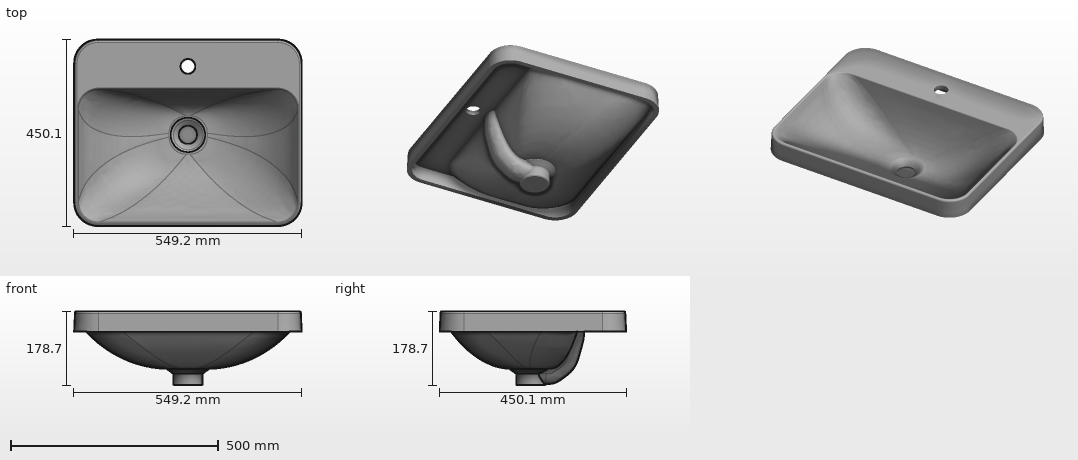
import cadquery as cq
import math


RIM_LENGTH = 549.22
RIM_WIDTH = 450.05
RIM_HEIGHT = 49.0
RIM_CORNER_RADIUS = 58.0
RIM_DRAFT_INSET = 2.3
RIM_EDGE_RADIUS = 4.5
SKIRT_THICKNESS = 10.0
DECK_THICKNESS = 12.0

TAP_HOLE_DIAMETER = 35.0
TAP_HOLE_Y = 160.0

DRAIN_Y = -5.0
BOWL_DEPTH = 128.0
BOWL_HALF_LENGTH = 265.0
BOWL_FRONT = 210.0
BOWL_BACK = 111.0
BOWL_WALL = 11.0
BOWL_EDGE_RADIUS = 3.0

FLOOR_REACH = 46.0
SIDE_PROFILE_POWER = 1.32
FRONT_PROFILE_POWER = 1.15
TOP_ROUNDNESS = 0.3
FLOOR_ROUNDNESS = 0.9
ROUNDING_POWER = 0.75
SECTION_COUNT = 7

DRAIN_RIM_RADIUS = 41.5
DRAIN_SEAT_RADIUS = 35.5
DRAIN_THROAT_RADIUS = 22.0
DRAIN_SEAT_DEPTH = 3.0
DRAIN_CONE_DEPTH = 10.0
DRAIN_THROAT_DEPTH = 4.0
TOTAL_HEIGHT = 178.68
OUTLET_RADIUS = 35.5
OUTLET_LENGTH = 28.5
OUTLET_CHAMFER = 2.0
FLARE_RADIUS = 50.0
FLARE_HEIGHT = 10.0

CHANNEL_WIDTH = 60.0
CHANNEL_EDGE_RADIUS = 26.0
CHANNEL_BACK_CURVE = [
    (124.0, -RIM_HEIGHT),
    (116.0, -92.0),
    (98.0, -138.0),
    (66.0, -166.0),
    (31.0, -176.0),
]


def rim_block():
    """Solid rim with drafted sides and a rounded top edge."""
    draft_angle = math.degrees(math.atan(RIM_DRAFT_INSET / RIM_HEIGHT))
    outline = cq.Sketch().rect(RIM_LENGTH, RIM_WIDTH).vertices().fillet(RIM_CORNER_RADIUS)
    block = cq.Workplane("XY", origin=(0, 0, -RIM_HEIGHT)).placeSketch(outline)
    block = block.extrude(RIM_HEIGHT, taper=draft_angle)
    return block.faces(">Z").edges().fillet(RIM_EDGE_RADIUS)


def inside_skirt(bottom_z):
    """Prism bounded by the inner skirt faces, from the underside of the deck down to bottom_z."""
    inset = SKIRT_THICKNESS + RIM_DRAFT_INSET
    outline = (
        cq.Sketch()
        .rect(RIM_LENGTH - 2 * inset, RIM_WIDTH - 2 * inset)
        .vertices()
        .fillet(RIM_CORNER_RADIUS - inset)
    )
    prism = cq.Workplane("XY", origin=(0, 0, bottom_z)).placeSketch(outline)
    return prism.extrude(-DECK_THICKNESS - bottom_z)


def bowl_section(depth_ratio, depth, wall):
    """Rounded rectangle at one level of the bowl, nearly a circle at the floor."""

    def reach(top_reach, power):
        spread = math.sqrt(1 - depth_ratio**power)
        return FLOOR_REACH + (top_reach + wall - FLOOR_REACH) * spread

    half_length = reach(BOWL_HALF_LENGTH, SIDE_PROFILE_POWER)
    back = reach(BOWL_BACK, SIDE_PROFILE_POWER)
    front = reach(BOWL_FRONT, FRONT_PROFILE_POWER)
    half_width = (front + back) / 2
    center_y = DRAIN_Y + (back - front) / 2
    roundness = TOP_ROUNDNESS + (FLOOR_ROUNDNESS - TOP_ROUNDNESS) * depth_ratio**ROUNDING_POWER
    outline = cq.Sketch().rect(2 * half_length, 2 * half_width).vertices().fillet(roundness * half_width)
    return outline.moved(cq.Location(cq.Vector(0, center_y, -depth * depth_ratio)))


def bowl_body(depth, wall):
    """Smooth loft from the rim level down to the drain."""
    sections = []
    for i in range(SECTION_COUNT):
        remaining = 1 - i / (SECTION_COUNT - 1)
        sections.append(bowl_section(1 - remaining**2, depth, wall))
    return cq.Workplane("XY").placeSketch(*sections).loft()


def drain_recess():
    """Seat, cone and closed throat sunk into the bowl floor."""
    seat_z = -BOWL_DEPTH - DRAIN_SEAT_DEPTH
    cone_z = seat_z - DRAIN_CONE_DEPTH
    floor_z = cone_z - DRAIN_THROAT_DEPTH
    profile = (
        cq.Workplane("XZ", origin=(0, DRAIN_Y, 0))
        .moveTo(0, -BOWL_DEPTH)
        .lineTo(DRAIN_RIM_RADIUS, -BOWL_DEPTH)
        .lineTo(DRAIN_SEAT_RADIUS, seat_z)
        .lineTo(DRAIN_THROAT_RADIUS, cone_z)
        .lineTo(DRAIN_THROAT_RADIUS, floor_z)
        .lineTo(0, floor_z)
        .close()
    )
    return profile.revolve(360, (0, 0, 0), (0, 1, 0))


def outlet():
    """Outlet spigot with a flared root under the bowl."""
    neck_z = -TOTAL_HEIGHT + OUTLET_LENGTH
    flare_z = neck_z + FLARE_HEIGHT
    profile = (
        cq.Workplane("XZ", origin=(0, DRAIN_Y, 0))
        .moveTo(0, -BOWL_DEPTH)
        .lineTo(FLARE_RADIUS, -BOWL_DEPTH)
        .lineTo(FLARE_RADIUS, flare_z)
        .lineTo(OUTLET_RADIUS, neck_z)
        .lineTo(OUTLET_RADIUS, -TOTAL_HEIGHT + OUTLET_CHAMFER)
        .lineTo(OUTLET_RADIUS - OUTLET_CHAMFER, -TOTAL_HEIGHT)
        .lineTo(0, -TOTAL_HEIGHT)
        .close()
    )
    return profile.revolve(360, (0, 0, 0), (0, 1, 0))


def overflow_channel():
    """Rounded rib that curves down the back of the bowl to the outlet."""
    back_y, start_z = CHANNEL_BACK_CURVE[0]
    end_z = CHANNEL_BACK_CURVE[-1][1]
    rib = (
        cq.Workplane("YZ")
        .moveTo(DRAIN_Y, -DECK_THICKNESS)
        .lineTo(back_y, -DECK_THICKNESS)
        .lineTo(back_y, start_z)
        .spline(CHANNEL_BACK_CURVE[1:], tangents=[(0, -1), (-1, 0)], includeCurrent=True)
        .lineTo(DRAIN_Y, end_z)
        .close()
        .extrude(CHANNEL_WIDTH / 2, both=True)
    )
    side_edges = rib.edges("%BSPLINE")
    return side_edges.fillet(CHANNEL_EDGE_RADIUS)


def tap_hole():
    """Through hole in the deck behind the bowl."""
    return (
        cq.Workplane("XY", origin=(0, TAP_HOLE_Y, 0))
        .circle(TAP_HOLE_DIAMETER / 2)
        .extrude(-DECK_THICKNESS)
    )


def opening_edges(body):
    """Edges where the bowl meets the flat rim top."""
    margin = 2.0
    opening = cq.selectors.BoxSelector(
        (-BOWL_HALF_LENGTH - margin, DRAIN_Y - BOWL_FRONT - margin, -margin),
        (BOWL_HALF_LENGTH + margin, DRAIN_Y + BOWL_BACK + margin, margin),
        boundingbox=True,
    )
    return body.faces(">Z").edges(opening)


rim = rim_block().cut(inside_skirt(-RIM_HEIGHT))
outer_bowl = bowl_body(BOWL_DEPTH + BOWL_WALL, BOWL_WALL).intersect(inside_skirt(-TOTAL_HEIGHT))
body = rim.union(outer_bowl).union(outlet().union(overflow_channel()))
body = body.cut(drain_recess()).cut(tap_hole())
body = body.cut(bowl_body(BOWL_DEPTH, 0))
result = opening_edges(body).fillet(BOWL_EDGE_RADIUS)